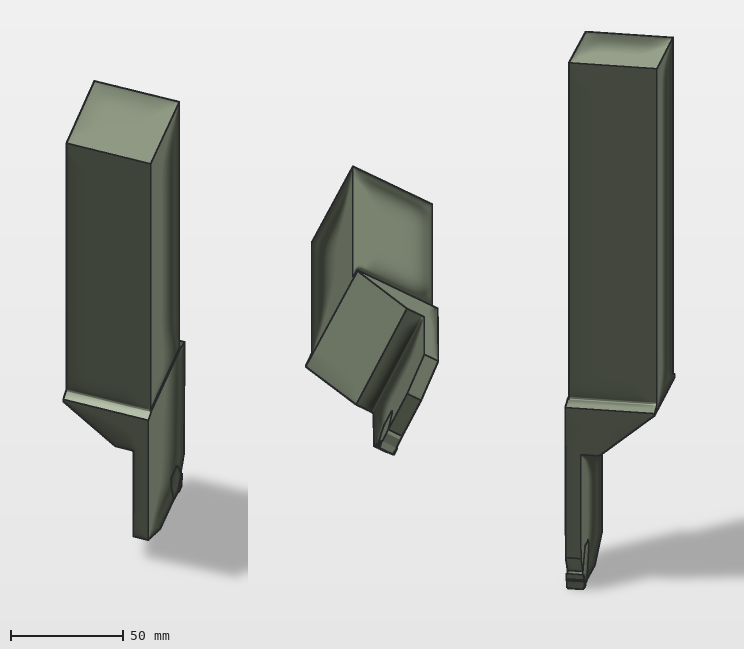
import cadquery as cq

total_height = 250.0
shank_size = 40.0
shank_bottom_z = 90.3
shank_fillet = 1.5

collar_front_y = -4.5
collar_back_y = 46.0
shoulder_edge_z = 88.3

front_lean = 0.5
back_lean = 1.0
blade_front_y = collar_front_y - front_lean
blade_back_y = collar_back_y - back_lean
blade_bottom_z = 1.3
front_chamfer_y = 12.0
front_chamfer_z = 11.0
back_chamfer_z = 16.5
seat_mouth = (40.5, 8.8)

blade_left_x = 33.5
blade_right_x = 40.5
wedge_top_z = 87.3
wedge_bottom_x = 25.0
wedge_bottom_z = 66.3
wedge_fillet = 1.0

side_taper = 0.5

insert_left_x = 33.0
insert_right_x = 41.0
tip = (40.0, 0.0)
seat_end = (30.8, blade_bottom_z)
seat_wall = [(37.3, 15.5), (35.0, 19.0), (27.8, 19.0), (27.0, 18.0), (27.0, 13.8)]
insert_heel = (32.5, 0.8)
flank_top_z = 3.8
nose_bottom_z = 5.0
head_top = (41.3, 7.5)
head_bottom = (36.5, 0.5)
tip_corner_chamfer = 0.8


def extrude_yz(points, left_x, right_x):
    """Prism with the given YZ outline between two X positions."""
    return (
        cq.Workplane("YZ", origin=(left_x, 0, 0))
        .polyline(points)
        .close()
        .extrude(right_x - left_x)
    )


def make_side_form():
    """Shank, collar and blade as outlined in YZ, with filleted shoulders."""
    form = extrude_yz(
        [
            (0, total_height),
            (0, shank_bottom_z),
            (collar_front_y, shoulder_edge_z),
            (blade_front_y, front_chamfer_z),
            (front_chamfer_y, blade_bottom_z),
            seat_end,
            seat_mouth,
            (blade_back_y, back_chamfer_z),
            (collar_back_y, shoulder_edge_z),
            (shank_size, shank_bottom_z),
            (shank_size, total_height),
        ],
        0,
        blade_right_x,
    )
    for shank_y in (0, shank_size):
        corner = cq.selectors.NearestToPointSelector((blade_right_x / 2, shank_y, shank_bottom_z))
        form = form.edges("|X").edges(corner).fillet(shank_fillet)
    return form


def make_thickness_form():
    """Shank, wedge and thin blade as outlined in XZ."""
    depth = collar_back_y - blade_front_y
    form = (
        cq.Workplane("XZ", origin=(0, collar_back_y, 0))
        .polyline(
            [
                (0, total_height),
                (0, wedge_top_z),
                (wedge_bottom_x, wedge_bottom_z),
                (blade_left_x, wedge_bottom_z),
                (blade_left_x, 0),
                (blade_right_x, 0),
                (blade_right_x, shank_bottom_z),
                (shank_size, shank_bottom_z),
                (shank_size, total_height),
            ]
        )
        .close()
        .extrude(depth)
    )
    corner = cq.selectors.NearestToPointSelector((blade_left_x, collar_back_y - depth / 2, wedge_bottom_z))
    return form.edges("|Y").edges(corner).fillet(wedge_fillet)


def make_side_taper():
    """Sliver removed from the left side, thickest at the front."""
    return (
        cq.Workplane("XY")
        .polyline([(0, collar_back_y), (0, blade_front_y), (side_taper, blade_front_y)])
        .close()
        .extrude(total_height)
    )


def make_insert_shank():
    """Part of the insert held in the blade, as thick as the blade."""
    return extrude_yz(
        [
            head_top,
            seat_mouth,
            *seat_wall,
            seat_end,
            insert_heel,
            head_bottom,
        ],
        blade_left_x,
        blade_right_x,
    )


def make_insert_head():
    """Cutting head, wider than the blade, with chamfered tip corners."""
    head = extrude_yz(
        [head_top, head_bottom, tip, (tip[0], flank_top_z), (head_top[0], nose_bottom_z)],
        insert_left_x,
        insert_right_x,
    )
    chamfer = tip_corner_chamfer
    front_outline = (
        cq.Workplane("XZ", origin=(0, head_top[0], 0))
        .polyline(
            [
                (insert_left_x + chamfer, tip[1]),
                (insert_right_x - chamfer, tip[1]),
                (insert_right_x, tip[1] + chamfer),
                (insert_right_x, head_top[1]),
                (insert_left_x, head_top[1]),
                (insert_left_x, tip[1] + chamfer),
            ]
        )
        .close()
        .extrude(head_top[0] - head_bottom[0])
    )
    return head.intersect(front_outline)


insert = make_insert_shank().union(make_insert_head())
holder = make_side_form().intersect(make_thickness_form()).cut(make_side_taper()).cut(insert)

result = cq.Compound.makeCompound([holder.solids().val(), insert.solids().val()])